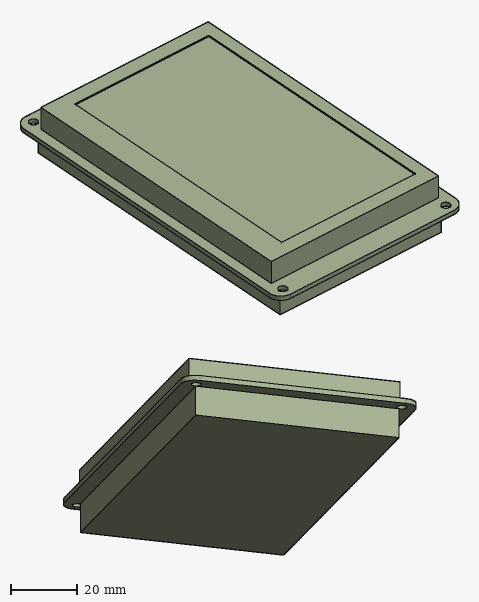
import cadquery as cq

plate_length = 121.8
plate_width = 74.7
plate_thickness = 1.6
corner_radius = 4.5
hole_diameter = 3.0
hole_spacing_x = 114.5
hole_spacing_y = 65.5

housing_length = 105.8
housing_width = 67.2
housing_height = 8.2

window_length = 95.0
window_width = 53.8
window_offset_y = 2.2
window_depth = 0.5

rear_length = 111.2
rear_width = 64.8
rear_height = 9.3


def block(length, width, height, base_z):
    """Box centred on the Z axis with its underside at base_z."""
    return cq.Workplane("XY").workplane(offset=base_z).rect(length, width).extrude(height)


def mounting_plate():
    """Rounded plate with a screw hole near each corner."""
    plate = block(plate_length, plate_width, plate_thickness, 0)
    return (
        plate.edges("|Z").fillet(corner_radius)
        .faces(">Z").workplane()
        .rect(hole_spacing_x, hole_spacing_y, forConstruction=True)
        .vertices()
        .hole(hole_diameter)
    )


def display_housing():
    """Housing on the plate, with the shallow screen recess."""
    housing = block(housing_length, housing_width, housing_height, plate_thickness)
    recess_floor_z = plate_thickness + housing_height - window_depth
    window = block(window_length, window_width, window_depth, recess_floor_z)
    return housing.cut(window.translate((0, window_offset_y, 0)))


rear_box = block(rear_length, rear_width, rear_height, -rear_height)

result = mounting_plate().union(display_housing()).union(rear_box)